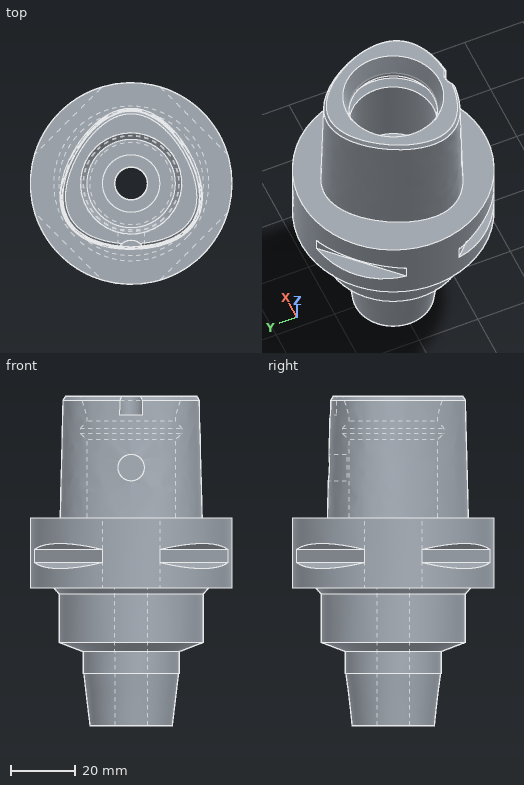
import cadquery as cq
import math

TOTAL_HEIGHT = 103.0
NOSE_TAPER_TOP = 16.4
NECK_TOP = 23.2
BODY_BOTTOM = 26.1
BODY_TOP = 41.2
FLANGE_BOTTOM = 43.1
FLANGE_TOP = 65.0

NOSE_TIP_RADIUS = 12.9
NOSE_TAPER_RADIUS = 14.8
NECK_RADIUS = 15.0
BODY_RADIUS = 22.6
COLLAR_RADIUS = 24.2
FLANGE_RADIUS = 31.5

SHANK_MEAN_RADIUS = 22.0
SHANK_LOBE = 1.4
SHANK_OUTLINE_POINTS = 36
SHANK_TAPER = 1 / 20
SHANK_CHAMFER_HEIGHT = 1.3
SHANK_CHAMFER_INSET = 0.8

BORE_RADIUS = 13.8
MOUTH_RADIUS = 15.8
MOUTH_DEPTH = 6.4
GROOVE_RADIUS = 15.9
GROOVE_START = 7.8
GROOVE_WALL_START = 10.1
GROOVE_WALL_END = 11.7
GROOVE_END = 13.6

BORE_FLOOR = FLANGE_TOP
SCREW_HOLE_RADIUS = 9.0
SCREW_HOLE_FLOOR = FLANGE_BOTTOM
RELIEF_RADIUS = 5.2
TOOL_BORE_RADIUS = 5.0
TOOL_BORE_TOP = NECK_TOP

KEYWAY_RADIUS = 4.3
KEYWAY_REACH = 17.7
KEYWAY_DEPTH = 6.0
SIDE_HOLE_RADIUS = 4.1
SIDE_HOLE_HEIGHT = TOTAL_HEIGHT - 22.4
SIDE_HOLE_FLOOR = 14.4

GRIP_COUNT = 4
GRIP_HEIGHT = TOTAL_HEIGHT - 50.0
GRIP_FLOOR = 27.7
GRIP_FLOOR_WIDTH = 4.0
GRIP_MOUTH_WIDTH = 7.8


def shank_wire(mean_radius, height):
    """Closed three-lobed outline with one lobe towards +Y."""
    points = []
    for index in range(SHANK_OUTLINE_POINTS):
        angle = 2 * math.pi * index / SHANK_OUTLINE_POINTS
        x = mean_radius * math.sin(angle) + SHANK_LOBE * math.sin(2 * angle)
        y = SHANK_LOBE * math.cos(2 * angle) - mean_radius * math.cos(angle)
        points.append(cq.Vector(x, y, height))
    return cq.Wire.assembleEdges([cq.Edge.makeSpline(points, periodic=True)])


def shank():
    chamfer_height = TOTAL_HEIGHT - SHANK_CHAMFER_HEIGHT
    chamfer_radius = SHANK_MEAN_RADIUS - (chamfer_height - FLANGE_TOP) * SHANK_TAPER / 2
    base = shank_wire(SHANK_MEAN_RADIUS, FLANGE_TOP)
    shoulder = shank_wire(chamfer_radius, chamfer_height)
    top = shank_wire(chamfer_radius - SHANK_CHAMFER_INSET, TOTAL_HEIGHT)
    return cq.Workplane(cq.Solid.makeLoft([base, shoulder, top], True))


def revolve_profile(points):
    """Turn an outline of (radius, height) points about the Z axis."""
    return cq.Workplane("XZ").polyline(points).close().revolve(360, (0, 0), (0, 1))


def turned_body():
    return revolve_profile([
        (0, 0),
        (NOSE_TIP_RADIUS, 0),
        (NOSE_TAPER_RADIUS, NOSE_TAPER_TOP),
        (NECK_RADIUS, NOSE_TAPER_TOP),
        (NECK_RADIUS, NECK_TOP),
        (BODY_RADIUS, BODY_BOTTOM),
        (BODY_RADIUS, BODY_TOP),
        (COLLAR_RADIUS, FLANGE_BOTTOM),
        (FLANGE_RADIUS, FLANGE_BOTTOM),
        (FLANGE_RADIUS, FLANGE_TOP),
        (0, FLANGE_TOP),
    ])


def bore():
    return revolve_profile([
        (0, TOTAL_HEIGHT),
        (MOUTH_RADIUS, TOTAL_HEIGHT),
        (BORE_RADIUS, TOTAL_HEIGHT - MOUTH_DEPTH),
        (BORE_RADIUS, TOTAL_HEIGHT - GROOVE_START),
        (GROOVE_RADIUS, TOTAL_HEIGHT - GROOVE_WALL_START),
        (GROOVE_RADIUS, TOTAL_HEIGHT - GROOVE_WALL_END),
        (BORE_RADIUS, TOTAL_HEIGHT - GROOVE_END),
        (BORE_RADIUS, BORE_FLOOR),
        (SCREW_HOLE_RADIUS, BORE_FLOOR),
        (SCREW_HOLE_RADIUS, SCREW_HOLE_FLOOR),
        (RELIEF_RADIUS, SCREW_HOLE_FLOOR),
        (RELIEF_RADIUS, TOOL_BORE_TOP),
        (TOOL_BORE_RADIUS, TOOL_BORE_TOP),
        (TOOL_BORE_RADIUS, 0),
        (0, 0),
    ])


def keyway():
    return (
        cq.Workplane("XY", origin=(0, 0, TOTAL_HEIGHT - KEYWAY_DEPTH))
        .center(0, -KEYWAY_REACH - KEYWAY_RADIUS)
        .circle(KEYWAY_RADIUS)
        .extrude(KEYWAY_DEPTH)
    )


def side_hole():
    return (
        cq.Workplane("XZ", origin=(0, -SIDE_HOLE_FLOOR, SIDE_HOLE_HEIGHT))
        .circle(SIDE_HOLE_RADIUS)
        .extrude(FLANGE_RADIUS - SIDE_HOLE_FLOOR)
    )


def grip_grooves():
    half_floor = GRIP_FLOOR_WIDTH / 2
    half_mouth = GRIP_MOUTH_WIDTH / 2
    groove = (
        cq.Workplane("XZ", origin=(0, 0, GRIP_HEIGHT))
        .polyline([
            (GRIP_FLOOR, -half_floor),
            (FLANGE_RADIUS, -half_mouth),
            (FLANGE_RADIUS, half_mouth),
            (GRIP_FLOOR, half_floor),
        ])
        .close()
        .extrude(FLANGE_RADIUS, both=True)
    )
    step = 360 / GRIP_COUNT
    grooves = cq.Workplane("XY")
    for index in range(GRIP_COUNT):
        grooves = grooves.add(groove.rotate((0, 0, 0), (0, 0, 1), (index + 0.5) * step))
    return grooves.combine()


result = (
    turned_body()
    .union(shank())
    .cut(bore())
    .cut(keyway())
    .cut(side_hole())
    .cut(grip_grooves())
)